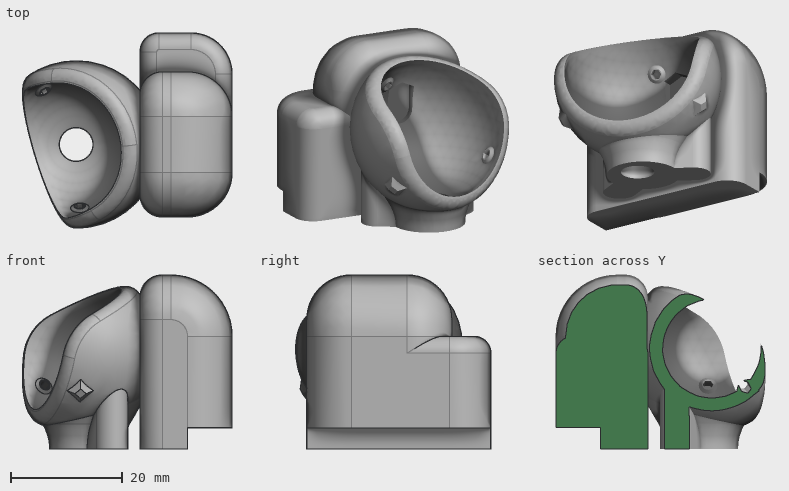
import cadquery as cq
import math

CUP_CENTER = cq.Vector(0, 0, 18)
CUP_RADIUS = 15.0
CAVITY_RADIUS = 13.3
DRAIN_HOLE_DIAMETER = 6.0

MOUTH_TURN = 17.0
UPPER_PLANE_ANGLE = 62.0
LOWER_PLANE_ANGLE = 9.0
MOUTH_PLANE_DISTANCE = 5.8
CREASE_RADIUS = 10.0
RIM_FILLET = 2.15

SUPPORT_COUNT = 3
SUPPORT_AXIS_DIP = 50.0
SUPPORT_SPREAD = 75.0
SUPPORT_DIAMETER = 3.3
SUPPORT_TIP_DIAMETER = 2.1
SUPPORT_HEIGHT = 0.4
SOCKET_DIAMETER = 1.9
SOCKET_FLOOR_RADIUS = 14.6
BOSS_TOP_RADIUS = 15.9
BOSS_BASE_RADIUS = 14.2
BOSS_TOP_DIAGONAL = 2.0
BOSS_BASE_DIAGONAL = 6.3

SLOT_WIDTH = 5.0
SLOT_SIDE_HEIGHT = 4.3
SLOT_PEAK_HEIGHT = 5.4
SLOT_END_X = 14.35

NECK_X = 1.8
NECK_RADIUS = 6.55
NECK_FLARE_RADIUS = 9.0
NECK_FLARE_ANGLE = 30.0
NECK_TOP_Z = 9.5
STRUT_X = 1.65
STRUT_WIDTH = 6.0
STRUT_LENGTH = 9.2
STRUT_ANGLE = 60.0

HOUSING_LEFT = 11.43
HOUSING_RIGHT = 27.95
HOUSING_HALF_DEPTH = 13.0
HOUSING_TOP = 31.2
HOUSING_TOP_RADIUS = 11.0
HOUSING_END_FILLET = 8.0
HOUSING_LEFT_FILLET = 4.0

BACK_BLOCK_END = 20.0
BACK_BLOCK_TOP = HOUSING_TOP - HOUSING_TOP_RADIUS
BACK_LEFT_RADIUS = 3.4
BACK_RIGHT_RADIUS = 7.4
BACK_TOP_FILLET = 3.0

UNDERCUT_X = HOUSING_RIGHT - HOUSING_END_FILLET
UNDERCUT_HEIGHT = 3.8


def direction(angle):
    """Unit vector in the mouth symmetry plane, raised by an angle in degrees."""
    raised = math.radians(angle)
    turn = math.radians(MOUTH_TURN)
    return cq.Vector(
        math.cos(raised) * math.cos(turn),
        math.cos(raised) * math.sin(turn),
        math.sin(raised),
    )


def ball(radius):
    """Ball around the cup centre."""
    return cq.Workplane("XY").sphere(radius).translate(CUP_CENTER)


def mouth_limit():
    """Region kept behind the mouth: a long prism with a rounded crease."""
    reach = 4 * CUP_RADIUS
    upper = math.radians(UPPER_PLANE_ANGLE)
    lower = math.radians(LOWER_PLANE_ANGLE)
    middle = (upper + lower) / 2
    crease_distance = MOUTH_PLANE_DISTANCE / math.cos((upper - lower) / 2)
    crease = (-crease_distance * math.cos(middle), crease_distance * math.sin(middle))
    upper_end = (crease[0] + reach * math.sin(upper), crease[1] + reach * math.cos(upper))
    lower_end = (crease[0] - reach * math.sin(lower), crease[1] - reach * math.cos(lower))
    across = direction(0)
    plane = cq.Plane(CUP_CENTER, xDir=across, normal=across.cross(cq.Vector(0, 0, 1)))
    prism = (
        cq.Workplane(plane)
        .polyline([crease, upper_end, (upper_end[0], lower_end[1]), lower_end])
        .close()
        .extrude(reach / 2, both=True)
    )
    crease_point = plane.toWorldCoords(crease)
    return prism.edges(cq.NearestToPointSelector(crease_point.toTuple())).fillet(CREASE_RADIUS)


def cup_shell():
    """Outer ball cut by the mouth, with a rounded rim."""
    cut_ball = ball(CUP_RADIUS).intersect(mouth_limit())
    rim_edges = cut_ball.faces("not %SPHERE").edges("not %LINE")
    return rim_edges.fillet(RIM_FILLET)


def neck():
    """Turned foot: an arc flares it into a cone that meets the cup."""
    angle = math.radians(NECK_FLARE_ANGLE)
    arc_center = NECK_RADIUS + NECK_FLARE_RADIUS

    def flare_point(swept):
        radius = arc_center - NECK_FLARE_RADIUS * math.cos(swept)
        return (radius, NECK_FLARE_RADIUS * math.sin(swept))

    arc_end = flare_point(angle)
    top_radius = arc_end[0] + (NECK_TOP_Z - arc_end[1]) * math.tan(angle)
    return (
        cq.Workplane("XZ")
        .lineTo(NECK_RADIUS, 0)
        .threePointArc(flare_point(angle / 2), arc_end)
        .lineTo(top_radius, NECK_TOP_Z)
        .lineTo(0, NECK_TOP_Z)
        .close()
        .revolve(360, (0, 0), (0, 1))
        .translate((NECK_X, 0, 0))
    )


def strut(angle):
    """Upright round-ended wall turned by an angle about the vertical."""
    return (
        cq.Workplane("XY")
        .center(STRUT_LENGTH / 2, 0)
        .slot2D(STRUT_LENGTH + STRUT_WIDTH, STRUT_WIDTH)
        .extrude(CUP_CENTER.z)
        .rotate((0, 0, 0), (0, 0, 1), angle)
        .translate((STRUT_X, 0, 0))
    )


def housing():
    """Rounded housing, tighter on the side that faces the cup."""
    width = HOUSING_RIGHT - HOUSING_LEFT
    depth = 2 * HOUSING_HALF_DEPTH
    body = cq.Workplane("XY").box(width, depth, HOUSING_TOP, centered=(False, True, False))
    body = body.translate((HOUSING_LEFT, 0, 0))
    body = body.edges(">X and >Z").fillet(HOUSING_TOP_RADIUS)
    for end in ("<Y", ">Y"):
        end_edges = body.faces(end).edges("not (<X or <Z)")
        body = end_edges.fillet(HOUSING_END_FILLET)
    return body.faces("<X").edges("not <Z").fillet(HOUSING_LEFT_FILLET)


def back_block():
    """Lower block that continues the housing toward +Y."""
    width = HOUSING_RIGHT - HOUSING_LEFT
    body = cq.Workplane("XY").box(width, BACK_BLOCK_END, BACK_BLOCK_TOP, centered=False)
    body = body.translate((HOUSING_LEFT, 0, 0))
    body = body.edges("|Z and <X and >Y").fillet(BACK_LEFT_RADIUS)
    body = body.edges("|Z and >X and >Y").fillet(BACK_RIGHT_RADIUS)
    return body.faces(">Z").edges("not <Y").fillet(BACK_TOP_FILLET)


def undercut():
    """Space under the outer half of the housing and the back block."""
    width = HOUSING_RIGHT - UNDERCUT_X
    depth = 2 * BACK_BLOCK_END
    space = cq.Workplane("XY").box(width, depth, UNDERCUT_HEIGHT, centered=(False, True, False))
    return space.translate((UNDERCUT_X, 0, 0))


def slot():
    """Horizontal slot from the cavity toward the housing."""
    half = SLOT_WIDTH / 2
    return (
        cq.Workplane("YZ", origin=CUP_CENTER.toTuple())
        .moveTo(half, 0)
        .lineTo(half, SLOT_SIDE_HEIGHT)
        .lineTo(0, SLOT_PEAK_HEIGHT)
        .lineTo(-half, SLOT_SIDE_HEIGHT)
        .lineTo(-half, 0)
        .threePointArc((0, -half), (half, 0))
        .close()
        .extrude(SLOT_END_X)
    )


def support_directions():
    """Unit vectors from the cup centre to the ball supports."""
    axis = direction(-SUPPORT_AXIS_DIP)
    first = direction(SUPPORT_SPREAD - SUPPORT_AXIS_DIP)
    line_end = CUP_CENTER + axis
    for index in range(SUPPORT_COUNT):
        turn = 360 / SUPPORT_COUNT * index
        tip = cq.Vertex.makeVertex(*(CUP_CENTER + first).toTuple())
        turned = tip.rotate(CUP_CENTER.toTuple(), line_end.toTuple(), turn)
        yield cq.Vector(*turned.toTuple()) - CUP_CENTER


def support_plane(outward, radius):
    """Plane facing the cup centre at a given radius, with a level X axis."""
    level = cq.Vector(0, 0, 1).cross(outward)
    return cq.Workplane(cq.Plane(CUP_CENTER + outward * radius, xDir=level, normal=outward * -1))


def support_boss(outward):
    """Square tapered boss on the outside of the cup."""
    return (
        support_plane(outward, BOSS_TOP_RADIUS)
        .polygon(4, BOSS_TOP_DIAGONAL)
        .workplane(offset=BOSS_TOP_RADIUS - BOSS_BASE_RADIUS)
        .polygon(4, BOSS_BASE_DIAGONAL)
        .loft(ruled=True)
    )


def support_tip(outward):
    """Small tapered seat that rises from the cavity wall."""
    wall_middle = (CUP_RADIUS + CAVITY_RADIUS) / 2
    base_radius = math.sqrt(CAVITY_RADIUS**2 - (SUPPORT_DIAMETER / 2) ** 2)
    stem_base = support_plane(outward, wall_middle).circle(SUPPORT_DIAMETER / 2)
    stem = stem_base.extrude(wall_middle - base_radius)
    cone = (
        support_plane(outward, base_radius)
        .circle(SUPPORT_DIAMETER / 2)
        .workplane(offset=SUPPORT_HEIGHT)
        .circle(SUPPORT_TIP_DIAMETER / 2)
        .loft()
    )
    return stem.union(cone)


def support_socket(outward):
    """Hexagonal blind socket opening into the cavity."""
    return (
        support_plane(outward, SOCKET_FLOOR_RADIUS)
        .polygon(6, SOCKET_DIAMETER)
        .extrude(SOCKET_FLOOR_RADIUS - CAVITY_RADIUS + 2 * SUPPORT_HEIGHT)
    )


outwards = list(support_directions())
drain_hole = cq.Workplane("XY").circle(DRAIN_HOLE_DIAMETER / 2).extrude(CUP_CENTER.z)

result = cup_shell().union(neck())
for side in (-1, 1):
    result = result.union(strut(side * STRUT_ANGLE))
result = result.union(housing().union(back_block()).cut(undercut()))
for outward in outwards:
    result = result.union(support_boss(outward))
result = result.cut(ball(CAVITY_RADIUS)).cut(slot()).cut(drain_hole)
for outward in outwards:
    result = result.union(support_tip(outward)).cut(support_socket(outward))